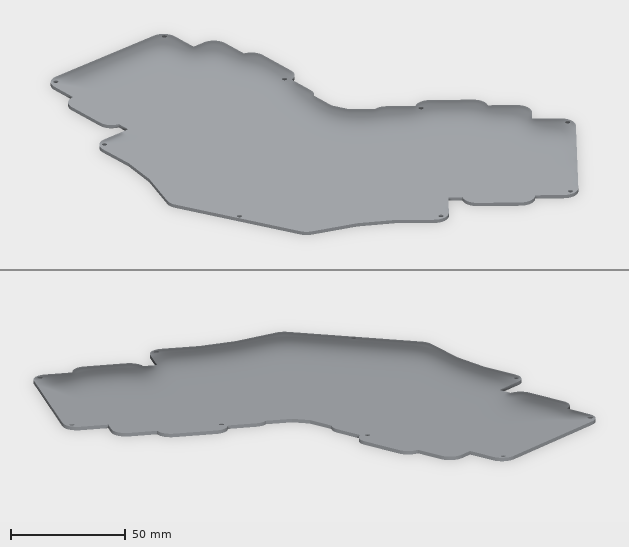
import cadquery as cq
import math

overall_width = 251.2
overall_depth = 144.2
thickness = 1.6
tilt = 25.0
tilt_angle = math.radians(tilt)
three_pitches = 57.0
key_pitch = three_pitches / 3
column_width = 32.0
corner_radius = 6.5
overlap_depth = 25.0

column_tops = [22.5, 35.2, 40.5, 35.2, 33.0]
column_rows = [3, 4, 4, 4, 4]
column_lengths = [column_width + (rows - 1) * key_pitch for rows in column_rows]

first_column_bottom = column_tops[0] - column_lengths[0]
corner_centre_x = corner_radius - overall_width / 2
corner_centre_v = first_column_bottom + corner_radius
corner_centre_u = (corner_centre_x - corner_centre_v * math.sin(tilt_angle)) / math.cos(tilt_angle)
first_column_u = corner_centre_u - corner_radius


def to_plate(u, v):
    """Turn a point of the tilted frame into plate coordinates."""
    x = u * math.cos(tilt_angle) + v * math.sin(tilt_angle)
    y = -u * math.sin(tilt_angle) + v * math.cos(tilt_angle)
    return x, y


thumb_u = first_column_u + three_pitches
thumb_v = -68.8

highest_centre_u = first_column_u + key_pitch + corner_radius
highest_centre_v = column_tops[1] - corner_radius
top_y = to_plate(highest_centre_u, highest_centre_v)[1] + corner_radius

bottom_y = top_y - overall_depth
bottom_corner_x = -32.7
bridge_y = 38.2
bridge_half_width = 4.3
flank_outer = (-63.8, -46.0)
flank_inner = (-49.7, -55.5)

hole_diameter = 2.2
hole_inset = 3.5
upper_hole = (-51.5, 33.2)
bottom_hole_inset = 1.8


def column(index):
    """Rounded block around one key column."""
    length = column_lengths[index]
    u = first_column_u + index * key_pitch + column_width / 2
    v = column_tops[index] - length / 2
    block = cq.Workplane("XY").box(column_width, length, thickness, centered=(True, True, False))
    block = block.edges("|Z").fillet(corner_radius)
    return block.translate((u, v, 0)).rotate((0, 0, 0), (0, 0, 1), -tilt)


def half_body():
    """Left half of the central body, from the thumb corner to the centre line."""
    thumb_corner = to_plate(thumb_u, thumb_v)
    bottom_corner = (bottom_corner_x, bottom_y)
    outline = [
        (0, bridge_y),
        (-bridge_half_width, bridge_y),
        to_plate(thumb_u, column_tops[3] - overlap_depth),
        thumb_corner,
        flank_outer,
        flank_inner,
        bottom_corner,
        (0, bottom_y),
    ]
    body = cq.Workplane("XY").polyline(outline).close().extrude(thickness)
    for x, y in (thumb_corner, bottom_corner):
        nearest = cq.selectors.NearestToPointSelector((x, y, thickness / 2))
        body = body.edges("|Z").edges(nearest).fillet(corner_radius)
    return body


def hole_centres():
    """Four mirrored pairs of holes and one on the centre line."""
    outer_u = first_column_u + hole_inset
    left = [
        to_plate(outer_u, column_tops[0] - hole_inset),
        to_plate(outer_u, first_column_bottom + hole_inset),
        to_plate(*upper_hole),
        to_plate(thumb_u + hole_inset, thumb_v + hole_inset),
    ]
    right = [(-x, y) for x, y in left]
    return left + right + [(0, bottom_y + bottom_hole_inset)]


half = half_body()
for column_index in range(len(column_tops)):
    half = half.union(column(column_index))

plate = half.union(half.mirror("YZ")).clean()
holes = cq.Workplane("XY").pushPoints(hole_centres()).circle(hole_diameter / 2).extrude(thickness)
result = plate.cut(holes)